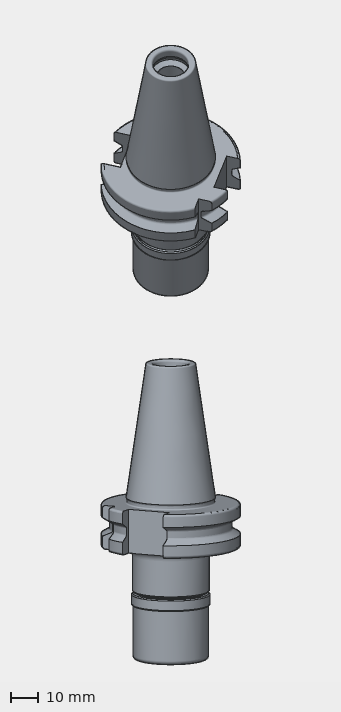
import cadquery as cq
import math

total_height = 107.8

gauge_height = 60.0
gauge_diameter = 31.8
gauge_radius = gauge_diameter / 2
taper_slope = 7 / 48
taper_bottom = 58.9
shank_lip_height = 0.6
neck_radius = 15.7
neck_fillet = 0.5

flange_radius = 25.0
flange_top = 56.8
flange_thickness = 16.0
flange_bottom = flange_top - flange_thickness
flange_rim_fillet = 1.0

groove_height = 48.9
groove_half_width = 3.3
groove_floor_radius = 22.0
groove_wall_angle = 30.0
groove_fillet = 0.8

slot_width = 16.1
left_slot_floor = 16.5
right_slot_floor = 18.5
notch_side = 15.0
notch_back = 15.2

body_radius = 13.8
body_bottom = 24.5
body_chamfer = 0.5
body_fillet = 3.0
relief_radius = 12.2
collar_radius = 14.1
collar_top = 23.9
collar_bottom = 19.6
collar_chamfer = 0.4
tail_radius = 13.6
tail_fillet = 1.4

bore_radius = 5.1
counterbore_radius = 6.4
counterbore_depth = 3.3
mouth_fillet = 1.0
nose_fillet = 0.6

undercut_radius = 7.1
undercut_flare_height = 1.5
undercut_wall_height = 1.0
seat_angle = 30.0


def taper_radius(height):
    """Radius of the shank cone at a given height."""
    return gauge_radius - (height - gauge_height) * taper_slope


def turned_body():
    groove_rise = (flange_radius - groove_floor_radius) * math.tan(math.radians(groove_wall_angle))
    groove_floor_half = groove_half_width - groove_rise
    profile = (
        cq.Workplane("XZ")
        .moveTo(0, 0)
        .lineTo(tail_radius, 0)
        .lineTo(tail_radius, collar_bottom)
        .lineTo(collar_radius - collar_chamfer, collar_bottom)
        .lineTo(collar_radius, collar_bottom + collar_chamfer)
        .lineTo(collar_radius, collar_top - collar_chamfer)
        .lineTo(collar_radius - collar_chamfer, collar_top)
        .lineTo(relief_radius, collar_top)
        .lineTo(relief_radius, body_bottom)
        .lineTo(body_radius - body_chamfer, body_bottom)
        .lineTo(body_radius, body_bottom + body_chamfer)
        .lineTo(body_radius, flange_bottom)
        .lineTo(flange_radius, flange_bottom)
        .lineTo(flange_radius, groove_height - groove_half_width)
        .lineTo(groove_floor_radius, groove_height - groove_floor_half)
        .lineTo(groove_floor_radius, groove_height + groove_floor_half)
        .lineTo(flange_radius, groove_height + groove_half_width)
        .lineTo(flange_radius, flange_top)
        .lineTo(neck_radius, flange_top)
        .lineTo(neck_radius, taper_bottom - shank_lip_height)
        .lineTo(taper_radius(taper_bottom), taper_bottom)
        .lineTo(taper_radius(total_height), total_height)
        .lineTo(0, total_height)
        .close()
    )
    solid = profile.revolve(360, (0, 0, 0), (0, 1, 0))
    fillets = [
        (tail_radius, 0, tail_fillet),
        (body_radius, flange_bottom, body_fillet),
        (flange_radius, flange_bottom, flange_rim_fillet),
        (groove_floor_radius, groove_height - groove_floor_half, groove_fillet),
        (groove_floor_radius, groove_height + groove_floor_half, groove_fillet),
        (flange_radius, flange_top, flange_rim_fillet),
        (neck_radius, flange_top, neck_fillet),
        (neck_radius, taper_bottom - shank_lip_height, neck_fillet),
        (taper_radius(total_height), total_height, nose_fillet),
    ]
    for radius, height, fillet_radius in fillets:
        solid = round_circle(solid, radius, height, fillet_radius)
    return solid


def round_circle(solid, radius, height, fillet_radius):
    """Fillet the circular edge of the given radius and height."""
    reach = 0.05
    ring = cq.selectors.BoxSelector(
        (-radius - reach, -radius - reach, height - reach),
        (radius + reach, radius + reach, height + reach),
        boundingbox=True,
    )
    edges = [
        edge
        for edge in solid.edges(ring).vals()
        if edge.geomType() == "CIRCLE" and abs(edge.radius() - radius) < reach
    ]
    return solid.newObject(edges).fillet(fillet_radius)


def bore():
    counterbore_floor = total_height - counterbore_depth
    flare_bottom = counterbore_floor - undercut_flare_height
    undercut_floor = flare_bottom - undercut_wall_height
    seat_depth = (undercut_radius - bore_radius) * math.tan(math.radians(seat_angle))
    return (
        cq.Workplane("XZ")
        .moveTo(0, 0)
        .lineTo(bore_radius, 0)
        .lineTo(bore_radius, undercut_floor - seat_depth)
        .lineTo(undercut_radius, undercut_floor)
        .lineTo(undercut_radius, flare_bottom)
        .lineTo(counterbore_radius, counterbore_floor)
        .lineTo(counterbore_radius, total_height)
        .lineTo(0, total_height)
        .close()
        .revolve(360, (0, 0, 0), (0, 1, 0))
    )


def flange_cutter(x_start, x_end, y_start, y_end):
    """Block as tall as the flange, spanning the given X and Y ranges."""
    return (
        cq.Workplane("XY", origin=(0, 0, flange_bottom))
        .moveTo(x_start, y_start)
        .lineTo(x_end, y_start)
        .lineTo(x_end, y_end)
        .lineTo(x_start, y_end)
        .close()
        .extrude(flange_thickness)
    )


half_slot = slot_width / 2
left_slot = flange_cutter(-flange_radius, -left_slot_floor, -half_slot, half_slot)
right_slot = flange_cutter(right_slot_floor, flange_radius, -half_slot, half_slot)
corner_notch = flange_cutter(notch_side, flange_radius, -flange_radius, -notch_back)

bored_body = round_circle(turned_body().cut(bore()), counterbore_radius, total_height, mouth_fillet)
result = bored_body.cut(left_slot).cut(right_slot).cut(corner_notch)